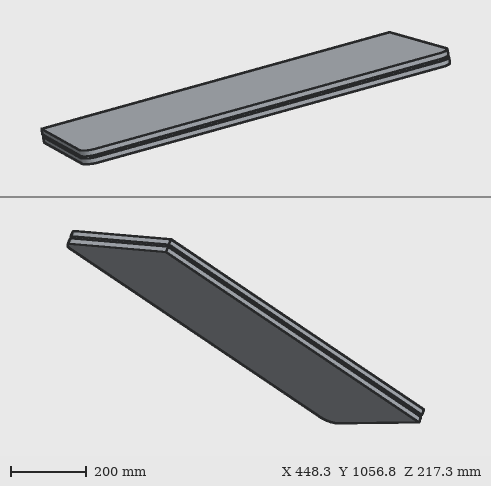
import cadquery as cq
import math

yaw = 5.1
tilt = 28.2
width = 389.0
low_edge = 1005.0
far_rise = 29.0
corner_radius = 34.0
sheet_thickness = 16.0
gap = 6.0

yaw_rad = math.radians(yaw)
tilt_rad = math.radians(tilt)

near_drop = width * math.cos(tilt_rad) * math.tan(yaw_rad)

up_slope = cq.Vector(
    math.cos(tilt_rad) * math.cos(yaw_rad),
    math.cos(tilt_rad) * math.sin(yaw_rad),
    math.sin(tilt_rad),
)
along_edge = cq.Vector(-math.sin(yaw_rad), math.cos(yaw_rad), 0)
sheet_normal = up_slope.cross(along_edge)


def make_sheet(bottom_offset):
    """Trapezoidal sheet, rounded at the high edge, raised along the sheet normal."""
    plane = cq.Plane(
        origin=sheet_normal.multiply(bottom_offset),
        xDir=up_slope,
        normal=sheet_normal,
    )
    outline = [
        (0, 0),
        (width, -near_drop),
        (width, low_edge + far_rise),
        (0, low_edge),
    ]
    blank = cq.Workplane(plane).polyline(outline).close().extrude(sheet_thickness)
    high_corners = blank.faces(cq.selectors.DirectionMinMaxSelector(up_slope, True)).edges(
        cq.selectors.ParallelDirSelector(sheet_normal)
    )
    return high_corners.fillet(corner_radius)


sheets = []
for level in range(2):
    sheet = make_sheet(level * (sheet_thickness + gap))
    sheets.append(sheet.val())

result = cq.Compound.makeCompound(sheets)